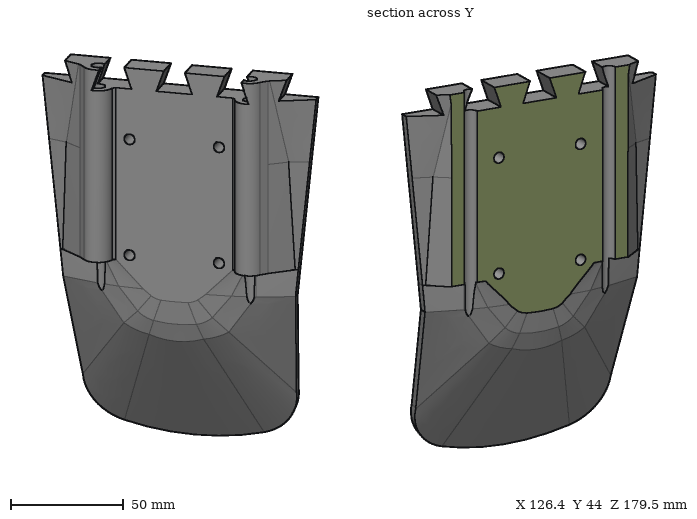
import cadquery as cq
import math

total_height = 179.5
shoulder_z = 169.9
tube_bottom_z = 89.8
bend_z = 77.2

shoulder_half_width = 63.2
tube_bottom_half_width = 55.0
bend_half_width = 53.7
blade_corner = (49.4, 27.0)
blade_corner_middle = (44.2, 12.2)
blade_bottom_corner = (32.3, 4.5)

edge_thickness = 4.0
pad_y = -12.0
pad_rounding_y = -11.1
pad_outer_y = -9.0
pad_rounding_top_x = 32.3
blade_tip_y = 21.4

tube_x = 35.0
tube_radius = 6.8
tube_bore = 6.3
flank_outer = (43.5, -13.0)
flank_tangent = (39.9, -16.7)
flank_inner = (27.0, pad_y)

tooth_count = 4
tooth_pitch = 28.0
tooth_top_width = 18.3
tooth_base_width = 11.5

crease_middle_z = 140.8
crease_bottom = (53.7, -4.5)
crease_middle = (51.4, -7.0)
crease_top = (44.2, -12.5)

mount_hole_diameter = 4.8
mount_hole_x = 20.7
mount_hole_levels = (92.3, 146.3)

blade_angle = math.atan2(blade_tip_y + edge_thickness, bend_z)


def mirrored(points):
    """Close a half outline that runs from the left side toward x = 0."""
    return points + [(-x, y) for x, y in reversed(points)]


def section(z, half_points):
    points = [cq.Vector(x, y, z) for x, y in mirrored(half_points)]
    return cq.Wire.makePolygon(points, close=True)


def plate_between(lower, upper):
    return cq.Workplane(obj=cq.Solid.makeLoft([lower, upper], True))


def upper_plate():
    """Tapered plate whose front rises from thin edges, over a crease, to the tubes."""
    taper = (shoulder_half_width - tube_bottom_half_width) / (shoulder_z - tube_bottom_z)

    def creased_section(z, crease):
        half_width = tube_bottom_half_width + taper * (z - tube_bottom_z)
        return section(z, [(-half_width, 0), (-half_width, -edge_thickness),
                           (-crease[0], crease[1]),
                           (-flank_outer[0], flank_outer[1]),
                           (-flank_inner[0], flank_inner[1])])

    bottom = creased_section(tube_bottom_z, crease_bottom)
    middle = creased_section(crease_middle_z, crease_middle)
    top = creased_section(total_height, crease_top)
    return plate_between(bottom, middle).union(plate_between(middle, top))


def tube(side):
    """Half-round ridge with a sloping outer flank."""
    length = total_height - tube_bottom_z
    flank_points = [flank_outer, flank_tangent, (tube_x, pad_y - tube_radius),
                    flank_inner, (flank_inner[0], pad_y / 2), (flank_outer[0], pad_y / 2)]
    base = cq.Workplane("XY", origin=(0, 0, tube_bottom_z))
    flank = base.polyline([(side * x, y) for x, y in flank_points]).close().extrude(length)
    return flank.union(base.center(side * tube_x, pad_y).circle(tube_radius).extrude(length))


pad_outer = [(36.8, bend_z), (24.2, 59.6), (18.7, 57.0), (12.5, 55.3), (0, 53.2)]
pad_rounding = [(26.0, bend_z), (17.2, 66.5), (13.6, 64.0), (9.9, 62.7), (0, 61.8)]
pad_inner = [(14.4, bend_z), (10.8, 74.3), (8.6, 73.3), (6.3, 72.7), (0, 72.5)]
blade_outline = [(bend_half_width, bend_z), blade_corner, blade_corner_middle,
                 blade_bottom_corner, (0, 0)]


def transition_plate():
    """Short plate from the tube ends down to the bend."""
    lower = [(-bend_half_width, 0), (-bend_half_width, -edge_thickness),
             (-pad_outer[0][0], pad_outer_y), (-pad_rounding[0][0], pad_rounding_y),
             (-pad_inner[0][0], pad_y)]
    upper = [(-tube_bottom_half_width, 0), (-tube_bottom_half_width, -edge_thickness),
             (-pad_outer[0][0], pad_outer_y),
             (-pad_rounding_top_x, pad_rounding_y), (-flank_inner[0], pad_y)]
    return plate_between(section(bend_z, lower), section(tube_bottom_z, upper))


def rounded_ring(half_outline, depth_at):
    """Ring of straight sides and arcs; depth_at gives y at each height z."""
    right = [cq.Vector(x, depth_at(z), z) for x, z in half_outline]
    left = [cq.Vector(-x, depth_at(z), z) for x, z in half_outline]
    return cq.Wire.assembleEdges([
        cq.Edge.makeLine(right[0], left[0]),
        cq.Edge.makeLine(left[0], left[1]),
        cq.Edge.makeThreePointArc(left[1], left[2], left[3]),
        cq.Edge.makeThreePointArc(left[3], left[4], right[3]),
        cq.Edge.makeThreePointArc(right[3], right[2], right[1]),
        cq.Edge.makeLine(right[1], right[0]),
    ])


def blade():
    """Tilted blade of even edge thickness, crowned up to the pad end."""
    front_edge = rounded_ring(
        blade_outline,
        lambda z: -edge_thickness + (bend_z - z) * math.tan(blade_angle),
    )
    rear_edge = front_edge.translate(cq.Vector(
        0, edge_thickness * math.cos(blade_angle), edge_thickness * math.sin(blade_angle)))
    rings = [
        rear_edge,
        front_edge,
        rounded_ring(pad_outer, lambda z: pad_outer_y),
        rounded_ring(pad_rounding, lambda z: pad_rounding_y),
        rounded_ring(pad_inner, lambda z: pad_y),
    ]
    body = plate_between(rings[0], rings[1])
    for near, far in zip(rings[1:], rings[2:]):
        body = body.union(plate_between(near, far))
    return body


def tooth_gaps():
    """Material above the shoulder that lies outside the dovetail teeth."""
    depth = 71.8
    height = total_height - shoulder_z
    gaps = cq.Workplane("XY").box(2.5 * shoulder_half_width, depth, height)
    gaps = gaps.translate((0, 0, shoulder_z + height / 2))
    for i in range(tooth_count):
        x = (i - (tooth_count - 1) / 2) * tooth_pitch
        tooth = (
            cq.Workplane("XZ", origin=(x, depth / 2, 0))
            .moveTo(-tooth_base_width / 2, shoulder_z)
            .lineTo(tooth_base_width / 2, shoulder_z)
            .lineTo(tooth_top_width / 2, total_height)
            .lineTo(-tooth_top_width / 2, total_height)
            .close()
            .extrude(depth)
        )
        gaps = gaps.cut(tooth)
    return gaps


result = upper_plate().union(transition_plate()).union(blade())
for side in (-1, 1):
    result = result.union(tube(side))
result = result.cut(tooth_gaps())

tube_bores = (
    cq.Workplane("XY")
    .pushPoints([(-tube_x, pad_y), (tube_x, pad_y)])
    .circle(tube_bore / 2)
    .extrude(total_height)
)
mount_holes = (
    cq.Workplane("XZ")
    .pushPoints([(x, z) for x in (-mount_hole_x, mount_hole_x) for z in mount_hole_levels])
    .circle(mount_hole_diameter / 2)
    .extrude(-pad_y)
)
result = result.cut(tube_bores).cut(mount_holes)